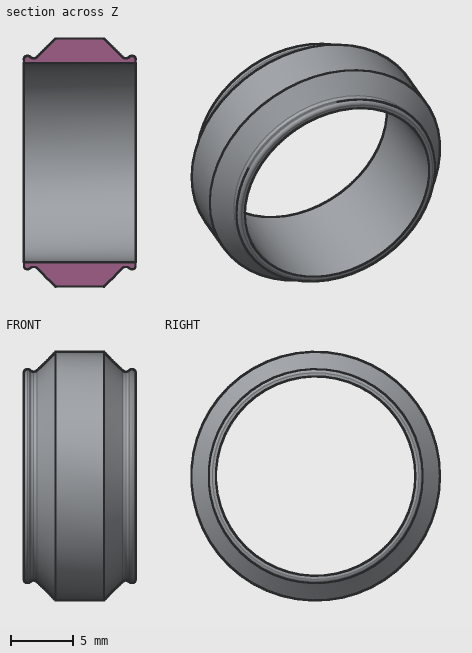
import cadquery as cq
import math

width = 9.0
outer_radius = 10.0
bore_radius = 8.0
lip_face_radius = 8.3
lip_round_radius = 0.3
groove_round_radius = 0.4
groove_offset = 0.8
groove_bottom_radius = 8.4
ridge_flank_angle = math.radians(45)

half_width = width / 2
lip_center = (half_width - lip_round_radius, lip_face_radius)
groove_center = (half_width - groove_offset, groove_bottom_radius + groove_round_radius)


def lip_point(angle):
    """Point on the lip round, tilted by angle from the crest toward mid-width."""
    x, radius = lip_center
    return (x - lip_round_radius * math.sin(angle), radius + lip_round_radius * math.cos(angle))


def groove_point(angle):
    """Point on the groove round, tilted by angle from the bottom toward the end face."""
    x, radius = groove_center
    return (x + groove_round_radius * math.sin(angle), radius - groove_round_radius * math.cos(angle))


def lip_flank_angle():
    """Slope of the straight flank that runs tangent to both the lip and the groove rounds."""
    axial_gap = lip_center[0] - groove_center[0]
    radial_gap = groove_center[1] - lip_center[1]
    center_distance = math.hypot(axial_gap, radial_gap)
    center_line_angle = math.atan2(axial_gap, radial_gap)
    return center_line_angle - math.acos((lip_round_radius + groove_round_radius) / center_distance)


def mirrored(point):
    """The same point at the opposite end of the ring."""
    return (-point[0], point[1])


def ring_section():
    """Closed wall section, X along the axis and Y as the radius, symmetric about mid-width."""
    flank = lip_flank_angle()
    bore_corner = (half_width, bore_radius)
    face_edge = (half_width, lip_face_radius)
    lip_crest = lip_point(0)
    lip_end = lip_point(flank)
    groove_start = groove_point(flank)
    groove_bottom = groove_point(0)
    groove_end = groove_point(-ridge_flank_angle)

    flank_length = (outer_radius - groove_end[1]) / math.tan(ridge_flank_angle)
    ridge_corner = (groove_end[0] - flank_length, outer_radius)

    outer_lip_mid = lip_point(-math.radians(90) / 2)
    inner_lip_mid = lip_point(flank / 2)
    outer_groove_mid = groove_point(flank / 2)
    inner_groove_mid = groove_point(-ridge_flank_angle / 2)

    return (
        cq.Workplane("XY")
        .moveTo(*bore_corner)
        .lineTo(*face_edge)
        .threePointArc(outer_lip_mid, lip_crest)
        .threePointArc(inner_lip_mid, lip_end)
        .lineTo(*groove_start)
        .threePointArc(outer_groove_mid, groove_bottom)
        .threePointArc(inner_groove_mid, groove_end)
        .lineTo(*ridge_corner)
        .lineTo(*mirrored(ridge_corner))
        .lineTo(*mirrored(groove_end))
        .threePointArc(mirrored(inner_groove_mid), mirrored(groove_bottom))
        .threePointArc(mirrored(outer_groove_mid), mirrored(groove_start))
        .lineTo(*mirrored(lip_end))
        .threePointArc(mirrored(inner_lip_mid), mirrored(lip_crest))
        .threePointArc(mirrored(outer_lip_mid), mirrored(face_edge))
        .lineTo(*mirrored(bore_corner))
        .close()
    )


def make_ring():
    """Revolve the section about X, keeping the faces on the two sides of each crest and bottom separate."""
    axis_start = (0, 0, 0)
    axis_end = (1, 0, 0)
    return ring_section().revolve(360, axis_start, axis_end, clean=False)


result = make_ring()